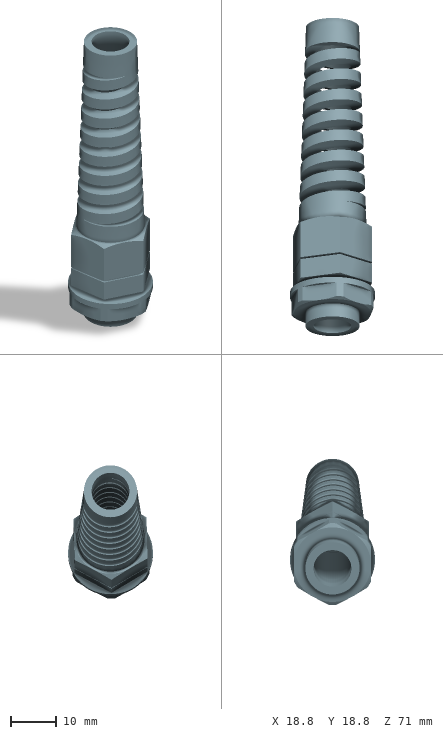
import cadquery as cq
import math


FLANGE_DIAMETER = 18.8
HEX_CORNERS = 18.7
TUBE_DIAMETER = 12.0
BORE_DIAMETER = 8.4
TOTAL_HEIGHT = 71.0
HEX_ROTATION = 30
MARGIN = 0.7

COLLAR_BOTTOM = 9.15
COLLAR_TOP = 13.6
TUBE_TOP = 20.6

LOCKNUT_BOTTOM = 3.1
FLANGE_BOTTOM = 6.75
LOCKNUT_TOP = 8.1
LOCKNUT_FLATS = 17.05
LOCKNUT_CHAMFER_WIDTH = 0.85
LOCKNUT_CHAMFER_HEIGHT = 0.4

CAP_BOTTOM = 14.05
CAP_HEX_TOP = 23.1
CAP_CHAMFER_HEIGHT = 0.65
SLEEVE_TOP_RADIUS = 5.9
SLEEVE_TAPER = 2.0

SLOT_BOTTOM = 27.1
SLOT_TOP = 65.2
SLOT_PITCH = 4.9
SLOT_PHASE_HEIGHT = 27.0
SLOT_WIDTH = 2.35
SLOT_DEPTH = 3.55
FLANK_SLOPE = 0.27


def cylinder(diameter, bottom, top):
    return cq.Workplane("XY").workplane(offset=bottom).circle(diameter / 2).extrude(top - bottom)


def hexagon(corner_diameter, bottom, top):
    prism = cq.Workplane("XY").workplane(offset=bottom).polygon(6, corner_diameter).extrude(top - bottom)
    return prism.rotate((0, 0, 0), (0, 0, 1), HEX_ROTATION)


def revolved(points):
    """Turn a closed (radius, height) outline around the Z axis."""
    return cq.Workplane("XZ").polyline(points).close().revolve(360, (0, 0, 0), (0, 1, 0))


def make_gland_body():
    tube = cylinder(TUBE_DIAMETER, 0, TUBE_TOP)
    collar = hexagon(HEX_CORNERS, COLLAR_BOTTOM, COLLAR_TOP)
    return tube.union(collar).cut(cylinder(BORE_DIAMETER, -MARGIN, TUBE_TOP + MARGIN))


def make_locknut():
    radius = FLANGE_DIAMETER / 2
    blank = revolved([
        (0, LOCKNUT_BOTTOM),
        (radius - LOCKNUT_CHAMFER_WIDTH, LOCKNUT_BOTTOM),
        (radius, LOCKNUT_BOTTOM + LOCKNUT_CHAMFER_HEIGHT),
        (radius, FLANGE_BOTTOM),
        (0, FLANGE_BOTTOM),
    ])
    corner_diameter = LOCKNUT_FLATS / math.cos(math.pi / 6)
    grip = blank.intersect(hexagon(corner_diameter, LOCKNUT_BOTTOM, FLANGE_BOTTOM))
    flange = cylinder(FLANGE_DIAMETER, FLANGE_BOTTOM, LOCKNUT_TOP)
    thread_hole = cylinder(TUBE_DIAMETER, LOCKNUT_BOTTOM - MARGIN, LOCKNUT_TOP + MARGIN)
    return grip.union(flange).cut(thread_hole)


def make_cap_hexagon():
    """Hexagon with its upper corners turned off by a cone tangent to the flats."""
    corner_radius = HEX_CORNERS / 2
    flat_radius = corner_radius * math.cos(math.pi / 6)
    chamfer_bottom = CAP_HEX_TOP - CAP_CHAMFER_HEIGHT
    envelope = revolved([
        (0, CAP_BOTTOM),
        (corner_radius, CAP_BOTTOM),
        (corner_radius, chamfer_bottom),
        (flat_radius, CAP_HEX_TOP),
        (0, CAP_HEX_TOP),
    ])
    return hexagon(HEX_CORNERS, CAP_BOTTOM, CAP_HEX_TOP).intersect(envelope)


def sleeve_radius(height):
    return SLEEVE_TOP_RADIUS + (TOTAL_HEIGHT - height) * math.tan(math.radians(SLEEVE_TAPER))


def make_sleeve():
    return revolved([
        (0, CAP_HEX_TOP),
        (sleeve_radius(CAP_HEX_TOP), CAP_HEX_TOP),
        (SLEEVE_TOP_RADIUS, TOTAL_HEIGHT),
        (0, TOTAL_HEIGHT),
    ])


def make_slot_cutter():
    """Right-handed cutter on a conical helix that follows the sleeve, ended by two flat planes."""
    turns = math.ceil((SLOT_TOP - SLOT_BOTTOM) / SLOT_PITCH) + 2
    start = SLOT_PHASE_HEIGHT + (turns - 1) * SLOT_PITCH
    surface_radius = sleeve_radius(start)
    inner_radius = surface_radius - SLOT_DEPTH
    outer_radius = surface_radius + MARGIN
    inner_half = SLOT_WIDTH / 2 - SLOT_DEPTH * FLANK_SLOPE
    outer_half = SLOT_WIDTH / 2 + MARGIN * FLANK_SLOPE

    helix = cq.Wire.makeHelix(SLOT_PITCH, turns * SLOT_PITCH, surface_radius, angle=SLEEVE_TAPER)
    helix = helix.rotate(cq.Vector(0, 0, 0), cq.Vector(1, 0, 0), 180).translate(cq.Vector(0, 0, start))
    profile = cq.Workplane("XZ").polyline([
        (inner_radius, start - inner_half),
        (outer_radius, start - outer_half),
        (outer_radius, start + outer_half),
        (inner_radius, start + inner_half),
    ]).close()
    spiral = profile.sweep(cq.Workplane(helix), isFrenet=True)
    slotted_zone = cylinder(FLANGE_DIAMETER, SLOT_BOTTOM, SLOT_TOP)
    return spiral.intersect(slotted_zone)


def make_cap_nut():
    cap = make_cap_hexagon().union(make_sleeve())
    cap = cap.cut(cylinder(BORE_DIAMETER, CAP_BOTTOM - MARGIN, TOTAL_HEIGHT + MARGIN))
    cap = cap.cut(cylinder(TUBE_DIAMETER, CAP_BOTTOM - MARGIN, TUBE_TOP))
    return cap.cut(make_slot_cutter())


gland_body = make_gland_body()
locknut = make_locknut()
cap_nut = make_cap_nut()

result = cq.Compound.makeCompound([
    gland_body.val(),
    locknut.val(),
    *cap_nut.solids().vals(),
])